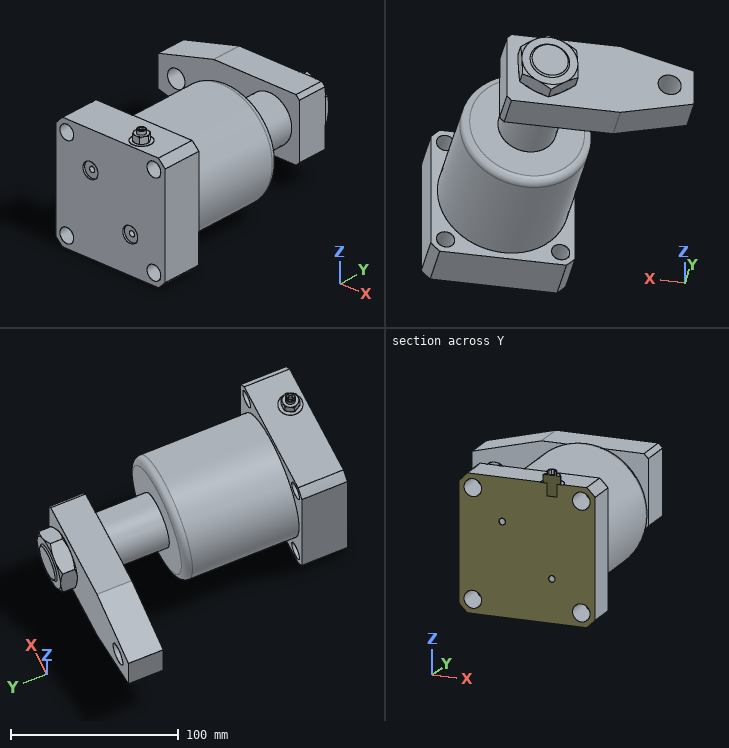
import cadquery as cq
import math


flange_side = 88
flange_thickness = 30
flange_corner_diameter = 117
barrel_diameter = 80
housing_length = 105
barrel_rim_radius = 5
mount_hole_diameter = 11
mount_hole_spacing = 70

port_offset = 16
port_seat_diameter = 12
port_seat_depth = 1.5
port_hole_diameter = 4
port_hole_depth = 10

hex_chamfer_angle = 30

rod_diameter = 35.5
rod_shoulder_y = 142
stud_diameter = 24
stud_chamfer = 1
stud_projection = 1
rod_depth_in_housing = housing_length - flange_thickness

arm_thickness = 23
arm_width = 48
arm_tip_width = 24
arm_tip_x = -90
arm_taper_x = -45
arm_back_x = 24
arm_back_chamfer = 2.8
arm_hole_x = -75
arm_hole_diameter = 14

nut_across_flats = 34
nut_height = 11
nut_turn = 3

screw_x = 16
screw_y = 10
screw_seat_diameter = 15
screw_seat_depth = 0.2
screw_across_flats = 10
screw_hex_height = 5
screw_tip_diameter = 6
screw_tip_height = 3
screw_tip_chamfer = 0.5
screw_socket_across_flats = 3
screw_socket_depth = 3
screw_shank_diameter = 6
screw_shank_length = 8

flange_top_z = flange_side / 2
arm_back_y = rod_shoulder_y + arm_thickness
nut_end_y = arm_back_y + nut_height
stud_end_y = nut_end_y + stud_projection
screw_seat_z = flange_top_z - screw_seat_depth


def corner_diameter(across_flats):
    """Across-corners size of a regular hexagon."""
    return across_flats / math.cos(math.radians(30))


def hexagon_prism(across_flats, height):
    """Upright hexagon on Z = 0 with corners on X, chamfered down to its flats at both ends."""
    corner_radius = corner_diameter(across_flats) / 2
    face_radius = across_flats / 2
    chamfer_height = (corner_radius - face_radius) * math.tan(math.radians(hex_chamfer_angle))
    corner_profile = [
        (0, 0),
        (face_radius, 0),
        (corner_radius, chamfer_height),
        (corner_radius, height - chamfer_height),
        (face_radius, height),
        (0, height),
    ]
    corner_cone = cq.Workplane("XZ").polyline(corner_profile).close().revolve(360, (0, 0), (0, 1))
    return cq.Workplane("XY").polygon(6, 2 * corner_radius).extrude(height).intersect(corner_cone)


def cylinder_y(diameter, y_start, y_end, x=0, z=0):
    """Cylinder parallel to the clamp axis."""
    base = cq.Vector(x, y_start, z)
    return cq.Workplane(cq.Solid.makeCylinder(diameter / 2, y_end - y_start, base, cq.Vector(0, 1, 0)))


def on_flange(z):
    """Horizontal sketch plane centred on the bleed screw."""
    return cq.Workplane("XY", origin=(screw_x, screw_y, z))


def make_housing():
    flange = cq.Workplane("XZ").rect(flange_side, flange_side).extrude(-flange_thickness)
    flange = flange.intersect(cylinder_y(flange_corner_diameter, 0, flange_thickness))
    barrel = cylinder_y(barrel_diameter, flange_thickness, housing_length)
    barrel = barrel.faces(">Y").edges().fillet(barrel_rim_radius)
    housing = flange.union(barrel)

    half_spacing = mount_hole_spacing / 2
    for x in (-half_spacing, half_spacing):
        for z in (-half_spacing, half_spacing):
            housing = housing.cut(cylinder_y(mount_hole_diameter, 0, flange_thickness, x, z))

    for x, z in ((-port_offset, port_offset), (port_offset, -port_offset)):
        housing = housing.cut(cylinder_y(port_seat_diameter, 0, port_seat_depth, x, z))
        housing = housing.cut(cylinder_y(port_hole_diameter, 0, port_hole_depth, x, z))

    rod_bore = cylinder_y(rod_diameter, housing_length - rod_depth_in_housing, housing_length)
    screw_seat = on_flange(flange_top_z).circle(screw_seat_diameter / 2).extrude(-screw_seat_depth)
    screw_hole = on_flange(screw_seat_z).circle(screw_shank_diameter / 2).extrude(-screw_shank_length)
    return housing.cut(rod_bore).cut(screw_seat).cut(screw_hole)


def make_rod():
    shaft = cylinder_y(rod_diameter, housing_length - rod_depth_in_housing, rod_shoulder_y)
    stud = cylinder_y(stud_diameter, rod_shoulder_y, stud_end_y)
    stud = stud.faces(">Y").edges().chamfer(stud_chamfer)
    return shaft.union(stud)


def make_arm():
    outline = [
        (arm_tip_x, -arm_tip_width / 2),
        (arm_taper_x, -arm_width / 2),
        (arm_back_x, -arm_width / 2),
        (arm_back_x, arm_width / 2),
        (arm_taper_x, arm_width / 2),
        (arm_tip_x, arm_tip_width / 2),
    ]
    arm = (
        cq.Workplane("XZ", origin=(0, rod_shoulder_y, 0))
        .polyline(outline)
        .close()
        .extrude(-arm_thickness)
    )
    arm = arm.faces(">X").edges("|Y").chamfer(arm_back_chamfer)
    tip_hole = cylinder_y(arm_hole_diameter, rod_shoulder_y, arm_back_y, arm_hole_x)
    stud_hole = cylinder_y(stud_diameter, rod_shoulder_y, arm_back_y)
    return arm.cut(tip_hole).cut(stud_hole)


def make_nut():
    nut = (
        hexagon_prism(nut_across_flats, nut_height)
        .rotate((0, 0, 0), (0, 0, 1), 30 + nut_turn)
        .rotate((0, 0, 0), (1, 0, 0), -90)
        .translate((0, arm_back_y, 0))
    )
    return nut.cut(cylinder_y(stud_diameter, arm_back_y, nut_end_y))


def make_bleed_screw():
    hex_top_z = flange_top_z + screw_hex_height
    tip_top_z = hex_top_z + screw_tip_height
    shank = on_flange(screw_seat_z).circle(screw_shank_diameter / 2).extrude(-screw_shank_length)
    head = hexagon_prism(screw_across_flats, hex_top_z - screw_seat_z)
    head = head.translate((screw_x, screw_y, screw_seat_z))
    tip = on_flange(hex_top_z).circle(screw_tip_diameter / 2).extrude(screw_tip_height)
    tip = tip.faces(">Z").edges().chamfer(screw_tip_chamfer)
    socket = (
        on_flange(tip_top_z)
        .polygon(6, corner_diameter(screw_socket_across_flats))
        .extrude(-screw_socket_depth)
    )
    return shank.union(head).union(tip).cut(socket)


housing = make_housing()
rod = make_rod()
arm = make_arm()
nut = make_nut()
bleed_screw = make_bleed_screw()

result = cq.Compound.makeCompound(
    [housing.val(), rod.val(), arm.val(), nut.val(), bleed_screw.val()]
)